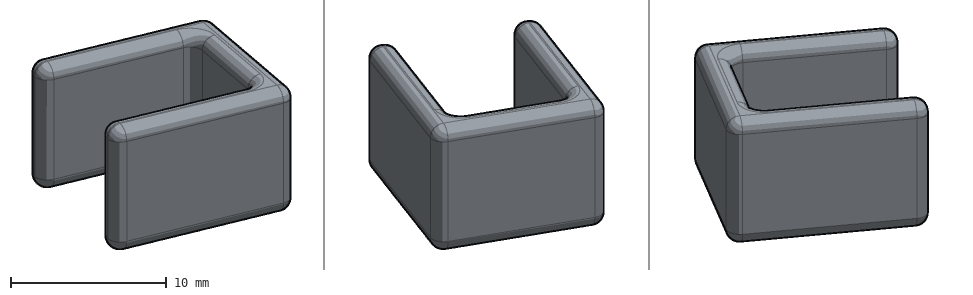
import cadquery as cq

width = 11.8
depth = 13.22
height = 9.0

arm_thickness = 1.9
back_thickness = 2.0
round_radius = 0.9

opening_width = width - 2 * arm_thickness
opening_depth = depth - back_thickness

block = cq.Workplane("XY").box(width, depth, height)
opening = (
    cq.Workplane("XY")
    .box(opening_width, opening_depth, height)
    .translate((0, -back_thickness / 2, 0))
)
clip = block.cut(opening)

clip = clip.edges("|Z").fillet(round_radius)

result = clip.faces("<Z or >Z").edges().fillet(round_radius)